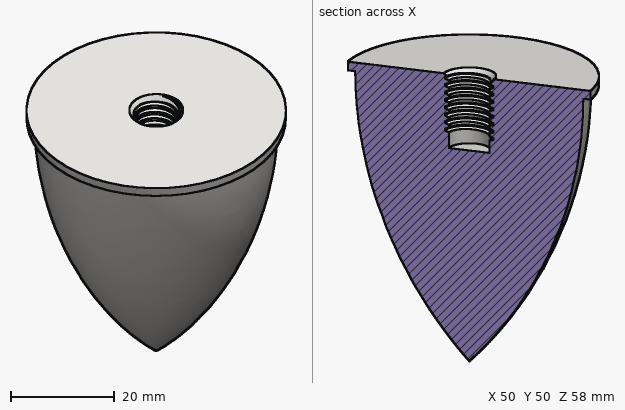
import cadquery as cq

total_height = 58
flange_diameter = 50.0
flange_thickness = 1.85
nose_height = total_height - flange_thickness
nose_radius = 23.55
nose_mid_radius = 18.25

minor_diameter = 8.3
major_diameter = 10.0
thread_pitch = 1.5
hole_depth = 15.1
countersink_diameter = 10.4
thread_start_angle = 335
thread_turns = 9
bore_seam_angle = 150
thread_runout = 0.85
thread_root_width = thread_pitch / 8
thread_mouth_width = thread_pitch * 0.75
profile_overlap = 0.3


def make_body():
    """Revolve the ogive nose and its flat flange as one profile."""
    flange_radius = flange_diameter / 2
    return (
        cq.Workplane("XZ")
        .moveTo(0, 0)
        .threePointArc((nose_mid_radius, nose_height / 2), (nose_radius, nose_height))
        .lineTo(flange_radius, nose_height)
        .lineTo(flange_radius, total_height)
        .lineTo(0, total_height)
        .close()
        .revolve(360, (0, 0, 0), (0, 1, 0))
    )


def make_bore():
    """Revolve the blind bore with its 45 degree countersink."""
    bore_radius = minor_diameter / 2
    countersink_radius = countersink_diameter / 2
    countersink_depth = countersink_radius - bore_radius
    return (
        cq.Workplane("XZ")
        .moveTo(0, total_height)
        .lineTo(countersink_radius, total_height)
        .lineTo(bore_radius, total_height - countersink_depth)
        .lineTo(bore_radius, total_height - hole_depth)
        .lineTo(0, total_height - hole_depth)
        .close()
        .revolve(360, (0, 0, 0), (0, 1, 0))
        .rotate((0, 0, 0), (0, 0, 1), bore_seam_angle)
    )


def make_thread_groove():
    """Sweep a trapezoidal groove along a right-handed helix that runs out through the countersink."""
    thread_length = thread_turns * thread_pitch
    inner_radius = minor_diameter / 2 - profile_overlap
    root_radius = major_diameter / 2
    helix = cq.Wire.makeHelix(thread_pitch, thread_length, minor_diameter / 2)
    groove = (
        cq.Workplane("XZ")
        .moveTo(inner_radius, -thread_mouth_width / 2)
        .lineTo(root_radius, -thread_root_width / 2)
        .lineTo(root_radius, thread_root_width / 2)
        .lineTo(inner_radius, thread_mouth_width / 2)
        .close()
        .sweep(cq.Workplane(helix), isFrenet=True)
    )
    thread_bottom = total_height + thread_runout - thread_length
    return groove.rotate((0, 0, 0), (0, 0, 1), thread_start_angle).translate((0, 0, thread_bottom))


result = make_body().cut(make_bore()).cut(make_thread_groove())